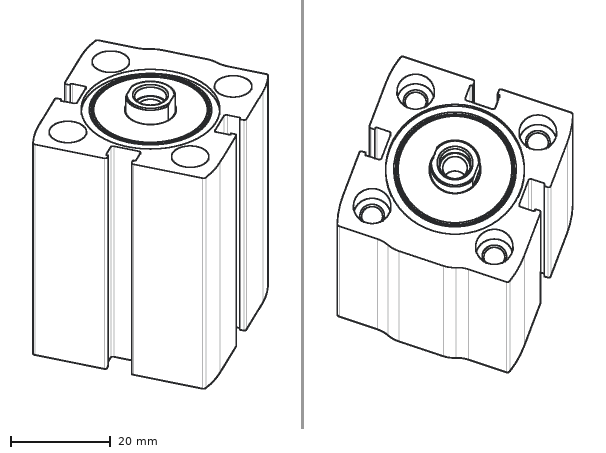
import cadquery as cq
import math

TOTAL_HEIGHT = 55.0
HOUSING_HEIGHT = 51.5
HALF_SIDE = 19.25

FLANK_HALF = 12.85
FLANK_RADIUS = 19.8
CORNER_FILLET = 0.6
RIDGE_HEIGHT = 1.0
RIDGE_TOP_HALF = 4.75
RIDGE_FOOT_HALF = 9.7

SLOT_DEPTH = 4.6
SLOT_WIDTH = 6.3
SLOT_MOUTH_WIDTH = 5.2
SLOT_LIP = 1.25
SLOT_FLOOR_FILLET = 0.5
SLOT_SHOULDER_FILLET = 0.3
SLOT_LIP_FILLET = 0.45
SLOT_ANGLES = (0, 180, 270)

HOLE_PITCH = 25.95
HOLE_DIAMETER = 4.2
HOLE_BEVEL_DIAMETER = 4.9
HEAD_DIAMETER = 7.5
HEAD_DEPTH = 5.5

COVER_RADIUS = 27.8 / 2
COVER_EDGE_DEPTH = 1.0
COVER_LIP_RADIUS = 12.25
COVER_DROP = 0.1
GROOVE_INNER_RADIUS = 11.4
GROOVE_DEPTH = 0.15
GROOVE_SIDE_WIDTH = 0.35

ROD_RADIUS = 10.0 / 2
ROD_BEVEL = 0.3
ROD_BORE_BEVEL = 0.15
ROD_FLATS_WIDTH = 9.0
ROD_FLATS_END = 1.1
ROD_INSERTION = 22.0

SOCKET_MOUTH_RADIUS = 3.6
SOCKET_RADIUS = 6.4 / 2
SOCKET_DEPTH = 2.5
SOCKET_LEDGE = 0.15
SOCKET_CONE_ANGLE = 120.0
DRILL_RADIUS = 4.9 / 2
DRILL_DEPTH = 11.0
DRILL_TIP_ANGLE = 118.0

COVER_Z = HOUSING_HEIGHT - COVER_DROP
ROD_BOTTOM_Z = COVER_Z - ROD_INSERTION


def revolve_profile(points):
    """Solid of revolution about Z from (radius, z) points."""
    return cq.Workplane("XZ").polyline(points).close().revolve(360, (0, 0, 0), (0, 1, 0))


def housing_blank():
    """Extruded outline: square with bowed corners and a low ridge on the +Y side."""
    corner_x = HALF_SIDE - FLANK_RADIUS + math.sqrt(FLANK_RADIUS**2 - (HALF_SIDE - FLANK_HALF) ** 2)
    half_sweep = math.asin((HALF_SIDE - FLANK_HALF) / FLANK_RADIUS) / 2
    bow_x = HALF_SIDE - FLANK_RADIUS * (1 - math.cos(half_sweep))
    bow_y = FLANK_HALF + FLANK_RADIUS * math.sin(half_sweep)
    ridge_y = HALF_SIDE + RIDGE_HEIGHT
    ridge_middle = ((RIDGE_FOOT_HALF + RIDGE_TOP_HALF) / 2, HALF_SIDE + RIDGE_HEIGHT / 2)
    half = (
        cq.Workplane("XY")
        .moveTo(0, -HALF_SIDE)
        .lineTo(corner_x, -HALF_SIDE)
        .threePointArc((bow_x, -bow_y), (HALF_SIDE, -FLANK_HALF))
        .lineTo(HALF_SIDE, FLANK_HALF)
        .threePointArc((bow_x, bow_y), (corner_x, HALF_SIDE))
        .lineTo(RIDGE_FOOT_HALF, HALF_SIDE)
        .tangentArcPoint(ridge_middle, relative=False)
        .tangentArcPoint((RIDGE_TOP_HALF, ridge_y), relative=False)
        .lineTo(0, ridge_y)
        .close()
        .extrude(HOUSING_HEIGHT)
    )
    corners = cq.selectors.BoxSelector(
        (corner_x - 0.05, -HALF_SIDE - 0.55, 0), (corner_x + 0.05, HALF_SIDE + 0.55, HOUSING_HEIGHT)
    )
    half = half.edges("|Z").edges(corners).fillet(CORNER_FILLET)
    return half.union(half.mirror("YZ")).clean()


def slot_cutter(angle):
    """T-slot in the side that faces the given direction, with its mouth edges rounded."""
    half_mouth = SLOT_MOUTH_WIDTH / 2
    lip_x = HALF_SIDE - SLOT_LIP
    chamber_length = SLOT_DEPTH - SLOT_LIP
    chamber = (
        cq.Workplane("XY")
        .center(lip_x - chamber_length / 2, 0)
        .rect(chamber_length, SLOT_WIDTH)
        .extrude(HOUSING_HEIGHT)
        .edges("|Z and <X")
        .fillet(SLOT_FLOOR_FILLET)
        .edges("|Z and >X")
        .fillet(SLOT_SHOULDER_FILLET)
    )
    round_middle = SLOT_LIP_FILLET * (1 - math.sqrt(0.5))
    mouth = (
        cq.Workplane("XY")
        .moveTo(lip_x, -half_mouth)
        .lineTo(HALF_SIDE - SLOT_LIP_FILLET, -half_mouth)
        .threePointArc(
            (HALF_SIDE - round_middle, -half_mouth - round_middle),
            (HALF_SIDE, -half_mouth - SLOT_LIP_FILLET),
        )
        .lineTo(HALF_SIDE, half_mouth + SLOT_LIP_FILLET)
        .threePointArc(
            (HALF_SIDE - round_middle, half_mouth + round_middle),
            (HALF_SIDE - SLOT_LIP_FILLET, half_mouth),
        )
        .lineTo(lip_x, half_mouth)
        .close()
        .extrude(HOUSING_HEIGHT)
    )
    return chamber.union(mouth).rotate((0, 0, 0), (0, 0, 1), angle)


def mounting_hole_cutter():
    """Stepped through hole with a beveled edge at the counterbore floor."""
    floor_z = HOUSING_HEIGHT - HEAD_DEPTH
    bevel = (HOLE_BEVEL_DIAMETER - HOLE_DIAMETER) / 2
    return revolve_profile(
        [
            (0, 0),
            (HOLE_DIAMETER / 2, 0),
            (HOLE_DIAMETER / 2, floor_z - bevel),
            (HOLE_BEVEL_DIAMETER / 2, floor_z),
            (HEAD_DIAMETER / 2, floor_z),
            (HEAD_DIAMETER / 2, HOUSING_HEIGHT),
            (0, HOUSING_HEIGHT),
        ]
    )


def cover_cutter():
    """Space above the end cover: sloped rim, shallow groove with sloped sides and flat face."""
    groove_z = COVER_Z - GROOVE_DEPTH
    return revolve_profile(
        [
            (0, COVER_Z),
            (GROOVE_INNER_RADIUS, COVER_Z),
            (GROOVE_INNER_RADIUS + GROOVE_SIDE_WIDTH, groove_z),
            (COVER_LIP_RADIUS - GROOVE_SIDE_WIDTH, groove_z),
            (COVER_LIP_RADIUS, COVER_Z),
            (COVER_RADIUS, HOUSING_HEIGHT - COVER_EDGE_DEPTH),
            (COVER_RADIUS, HOUSING_HEIGHT),
            (0, HOUSING_HEIGHT),
        ]
    )


def rod_bore_cutter():
    """Blind bore that holds the rod, with a beveled mouth in the cover face."""
    return revolve_profile(
        [
            (0, ROD_BOTTOM_Z),
            (ROD_RADIUS, ROD_BOTTOM_Z),
            (ROD_RADIUS, COVER_Z - ROD_BORE_BEVEL),
            (ROD_RADIUS + ROD_BORE_BEVEL, COVER_Z),
            (0, COVER_Z),
        ]
    )


def make_housing():
    body = housing_blank()
    for angle in SLOT_ANGLES:
        body = body.cut(slot_cutter(angle))
    for x in (-HOLE_PITCH / 2, HOLE_PITCH / 2):
        for y in (-HOLE_PITCH / 2, HOLE_PITCH / 2):
            body = body.cut(mounting_hole_cutter().translate((x, y, 0)))
    body = body.cut(cover_cutter())
    return body.cut(rod_bore_cutter())


def socket_cutter():
    """Beveled mouth, wide socket, ledge, cone down to the drilled hole, and the drill tip."""
    mouth_bevel = SOCKET_MOUTH_RADIUS - SOCKET_RADIUS
    step_z = TOTAL_HEIGHT - SOCKET_DEPTH
    cone_radius = SOCKET_RADIUS - SOCKET_LEDGE
    cone_depth = (cone_radius - DRILL_RADIUS) / math.tan(math.radians(SOCKET_CONE_ANGLE / 2))
    drill_z = TOTAL_HEIGHT - DRILL_DEPTH
    tip_length = DRILL_RADIUS / math.tan(math.radians(DRILL_TIP_ANGLE / 2))
    return revolve_profile(
        [
            (0, drill_z - tip_length),
            (DRILL_RADIUS, drill_z),
            (DRILL_RADIUS, step_z - cone_depth),
            (cone_radius, step_z),
            (SOCKET_RADIUS, step_z),
            (SOCKET_RADIUS, TOTAL_HEIGHT - mouth_bevel),
            (SOCKET_MOUTH_RADIUS, TOTAL_HEIGHT),
            (0, TOTAL_HEIGHT),
        ]
    )


def flat_cutter():
    """Wrench flat on the +X side, sloping outward where it ends below the cover face."""
    flat_x = ROD_FLATS_WIDTH / 2
    end_z = COVER_Z - ROD_FLATS_END
    run_out = ROD_RADIUS - flat_x
    return (
        cq.Workplane("XZ")
        .polyline(
            [
                (flat_x, end_z),
                (ROD_RADIUS, end_z - run_out),
                (ROD_RADIUS, TOTAL_HEIGHT),
                (flat_x, TOTAL_HEIGHT),
            ]
        )
        .close()
        .extrude(ROD_RADIUS, both=True)
    )


def make_rod():
    rod = (
        cq.Workplane("XY", origin=(0, 0, ROD_BOTTOM_Z))
        .circle(ROD_RADIUS)
        .extrude(TOTAL_HEIGHT - ROD_BOTTOM_Z)
        .faces(">Z")
        .chamfer(ROD_BEVEL)
    )
    flat = flat_cutter()
    return rod.cut(flat).cut(flat.mirror("YZ")).cut(socket_cutter())


housing = make_housing()
piston_rod = make_rod()

result = cq.Compound.makeCompound([housing.val(), piston_rod.val()])